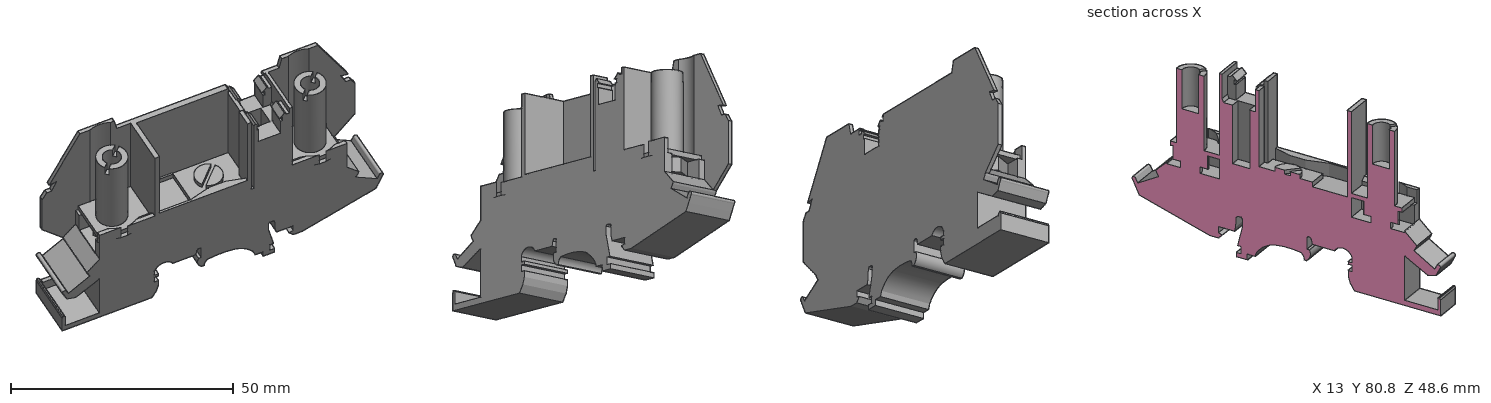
import cadquery as cq
import math


width = 13.0
length = 80.75
height = 48.6
half_length = length / 2
plate_thick = 1.0
mid_plate_thick = 1.5
wall_top = 45.84
core_top = 23.7
core_face_pos_y = 31.25
core_face_neg_y = -30.95
ledge_z = 19.2
slope_y, slope_z = 34.2, 16.3
body_half = 39.35

hook_tip_radius = 0.55
hook_tip_z = 12.5

foot_top = 4.65
tray_y = (-39.6, -31.05)
tray_floor = 1.45

end_wall_pos_y = (16.75, 17.5)
end_wall_neg_y = (-17.1, -15.9)
mid_wall_y = (6.2, 7.2)
low_wall_y = (7.1, 8.1)
low_wall_top = 44.35

slot_floor_z = 38.7
gap_x = (4.2, 8.8)
slot_pocket_y = (9.6, 14.0)
latch_post_outer_y = (16.75, 7.8)
strip_width = 0.4
strip_height = 0.9

screw_x = 6.75
screw_y = (25.1, -24.75)
screw_top = 44.0
screw_dia = 7.25
bore_dia = 4.3
bore_depth = 10.0
screw_slot_width = 0.95
screw_slot_depth = 2.05
clearance_radius = 6.3
clamp_plate_x = (plate_thick, 12.0)
clamp_plate_outer_y = 30.3
clamp_plate_top = 24.9
nut_flats = 8.1
nut_bottom = 20.3
shaft_dia = 5.3
pocket_floor = 18.8
side_wall_thick = 1.0
side_wall_top = 27.1
wedge_width = 1.0
wedge_low_z = 25.9
wedge_high_z = 26.7

mid_screw_x, mid_screw_y = 6.5, -0.3
mid_screw_dia = 6.6
mid_screw_head = 1.0
mid_plate_x = (1.65, 11.0)
mid_plate_end_y = -6.9
shoulder_x = 1.95
mid_wall_outline = [(12.2, mid_wall_y[0]), (11.0, 1.65), (11.0, -2.45), (12.45, -7.7),
                    (12.45, end_wall_neg_y[1])]

latch_pos = [(16.4, wall_top), (16.15, 45.36), (16.75, 45.36), (16.75, 44.32), (16.0, 44.32),
             (15.5, 44.85), (14.25, 43.6), (15.0, 43.6), (15.0, 42.65), (14.55, 42.65),
             (14.55, slot_floor_z)]
latch_neg = [(8.92, slot_floor_z), (8.92, 42.65), (8.65, 42.65), (8.65, 43.6), (9.25, 43.6),
             (8.2, 44.85), (7.8, 44.32), (7.0, 44.32), (7.0, 45.36), (7.5, 45.36),
             (7.0, wall_top)]
plate_end = [(body_half, 21.4), (body_half, 31.4), (38.2, 33.1), (37.0, 33.1), (35.75, 35.55),
             (37.6, 35.3), (29.9, height)]
tower_step_pos = [(20.2, wall_top), (20.9, height)]
tower_step_neg = [(-21.25, height), (-20.55, wall_top)]
hook_top = [(34.0, 15.75), (33.45, 14.85), (38.8, 11.7)]
long_arm = [(39.4, 10.4), (38.5, 8.6), (20.0, 3.45), (17.75, 3.45), (16.65, 4.6), (17.7, 4.89)]
short_arm = [(-37.0, 9.45), (-39.2, 10.05)]
rail_spring_slot = [(17.7, 6.38), (13.52, 6.38), (13.2, 7.5), (13.05, 10.1), (12.7, 10.46),
                    (11.8, 10.46), (11.55, 10.1), (11.55, 8.0), (12.8, 2.94), (11.85, 2.94),
                    (11.85, 1.2), (13.06, 1.2), (13.06, 0), (10.14, 0), (10.14, 1.45),
                    (8.15, 1.45), (7.7, 2.65)]
rail_seat = [(-5.44, 7.3), (-5.44, 10.2), (-5.7, 10.46), (-6.2, 10.46), (-6.5, 9.97),
             (-6.77, 8.8), (-12.6, 8.8)]
rail_jaw = [(-17.19, 7.13), (-16.16, 7.13), (-16.16, 6.38), (-17.19, 6.38), (-17.19, 4.89),
            (-16.16, 4.89), (-16.16, 3.4), (-16.65, 1.75), (-17.8, 0)]
foot = [(-half_length, 0), (-half_length, 4.15), (-40.2, foot_top), (-39.85, foot_top), (-39.2, 3.9),
        (tray_y[1], 3.9), (tray_y[1], 12.65)]


def mirrored(points):
    """Points reflected to the -Y end, in reverse order."""
    return [(-y, z) for y, z in reversed(points)]


def box(x_range, y_range, z_range):
    """Axis-aligned box between pairs of limits."""
    size = [limits[1] - limits[0] for limits in (x_range, y_range, z_range)]
    corner = (x_range[0], y_range[0], z_range[0])
    return cq.Workplane("XY").box(*size, centered=False).translate(corner)


def cylinder(x, y, diameter, z_low, z_high):
    """Upright cylinder."""
    return cq.Workplane("XY", origin=(x, y, z_low)).circle(diameter / 2).extrude(z_high - z_low)


def lines(path, points):
    """Continue a path with straight lines through points."""
    for point in points:
        path = path.lineTo(*point)
    return path


def hook_tip_point(angle):
    """Point on the round hook tip at the +Y end."""
    radians = math.radians(angle)
    centre_y = half_length - hook_tip_radius
    return (centre_y + hook_tip_radius * math.cos(radians),
            hook_tip_z + hook_tip_radius * math.sin(radians))


def lower_outline():
    """Open path from the +Y slope corner round the underside to the -Y slope corner."""
    hook_start, hook_middle, hook_end = [hook_tip_point(angle) for angle in (165, 60, -45)]
    path = cq.Workplane("YZ").moveTo(slope_y, slope_z)
    path = lines(path, hook_top + [hook_start])
    path = path.threePointArc(hook_middle, hook_end)
    path = lines(path, long_arm + rail_spring_slot)
    path = path.threePointArc((5.7, 4.65), (3.0, 5.85))
    path = path.threePointArc((-0.2, 6.15), (-3.8, 5.86))
    path = path.threePointArc((-4.4, 5.2), (-4.66, 4.21))
    path = path.lineTo(-5.25, 4.21)
    path = path.threePointArc((-6.35, 5.9), (-6.1, 7.25))
    path = lines(path, rail_seat)
    path = path.threePointArc((-15.25, 10.05), (-17.19, 8.3))
    path = lines(path, rail_jaw + foot + short_arm + mirrored([hook_end]))
    path = path.threePointArc(*mirrored([hook_start, hook_middle]))
    return lines(path, mirrored([(slope_y, slope_z)] + hook_top))


def make_core():
    """Full-width lower housing."""
    end_faces = [(core_face_neg_y, ledge_z), (core_face_neg_y, core_top),
                 (core_face_pos_y, core_top), (core_face_pos_y, ledge_z)]
    core = lines(lower_outline(), end_faces).close().extrude(width)
    return core.cut(box((plate_thick, width), tray_y, (tray_floor, foot_top)))


def make_side_plate():
    """Closed plate at -X with the complete outline."""
    far_end = [(-y, z) for y, z in plate_end]
    path = lines(lower_outline(), far_end)
    path = lines(path, tower_step_neg)
    path = lines(path, list(reversed(latch_neg)) + list(reversed(latch_pos)))
    path = lines(path, tower_step_pos)
    path = lines(path, list(reversed(plate_end)))
    return path.close().extrude(plate_thick)


def make_walls():
    """Cross walls and the thicker part of the side plate between them."""
    full_x = (0, width)
    walls = box(full_x, end_wall_pos_y, (slope_z, wall_top))
    walls = walls.union(box(full_x, end_wall_neg_y, (slope_z, wall_top)))
    walls = walls.union(box((gap_x[1], width), mid_wall_y, (slope_z, wall_top)))
    walls = walls.union(box((plate_thick, gap_x[1]), low_wall_y, (slope_z, low_wall_top)))
    mid_span = (end_wall_neg_y[0], mid_wall_y[1])
    return walls.union(box((0, mid_plate_thick), mid_span, (slope_z, wall_top)))


def make_marker_slot():
    """Block under the marker slot with its two pairs of latch posts."""
    pos_y, neg_y = latch_post_outer_y
    block = box((0, width), (neg_y, pos_y), (slope_z, slot_floor_z))
    block = block.cut(box(gap_x, slot_pocket_y, (core_top, slot_floor_z)))
    pos_post = latch_pos[3:] + [(pos_y, slot_floor_z)]
    neg_post = latch_neg[:7] + [(neg_y, slot_floor_z)]
    for x_low, x_high in ((0, gap_x[0]), (gap_x[1], width)):
        for outline in (pos_post, neg_post):
            post = cq.Workplane("YZ", origin=(x_low, 0, 0)).polyline(outline).close()
            block = block.union(post.extrude(x_high - x_low))
    strip = [(pos_y, slot_floor_z), (pos_y - strip_width, slot_floor_z),
             (pos_y, slot_floor_z + strip_height)]
    strip_face = cq.Workplane("YZ", origin=(gap_x[0], 0, 0)).polyline(strip).close()
    return block.union(strip_face.extrude(gap_x[1] - gap_x[0]))


def slot_tool(x, y, slot_length, z_low, z_high):
    """Diagonal bar that cuts a screwdriver slot."""
    bar = cq.Workplane("XY", origin=(0, 0, z_low)).rect(slot_length, screw_slot_width)
    bar = bar.extrude(z_high - z_low).rotate((0, 0, 0), (0, 0, 1), -45)
    return bar.translate((x, y, 0))


def add_terminal(body, y, inner_y, end_y):
    """Clamp plate, screw, nut, wire pocket and side wall between a cross wall and an end face."""
    side = math.copysign(1, y)
    span = tuple(sorted((inner_y, end_y)))
    side_wall_x = width - side_wall_thick
    nut_x = (screw_x - nut_flats / 2, screw_x + nut_flats / 2)
    body = body.cut(box(nut_x, span, (pocket_floor, core_top)))

    wall = box((side_wall_x, width), span, (core_top, side_wall_top))
    inner_span = tuple(sorted((inner_y, y)))
    wall = wall.cut(box((side_wall_x, width), inner_span, (wedge_high_z, side_wall_top)))
    rib_outline = [(side_wall_x, core_top), (side_wall_x - wedge_width, core_top),
                   (side_wall_x - wedge_width, wedge_low_z), (side_wall_x, wedge_high_z)]
    rib = cq.Workplane("XZ", origin=(0, inner_y, 0)).polyline(rib_outline).close()
    body = body.union(wall).union(rib.extrude(inner_y - y))
    body = body.cut(cylinder(screw_x, y, 2 * clearance_radius, core_top, height))

    clamp_y = tuple(sorted((inner_y, side * clamp_plate_outer_y)))
    clamp = box(clamp_plate_x, clamp_y, (core_top, clamp_plate_top))
    screw = cylinder(screw_x, y, screw_dia, clamp_plate_top, screw_top)
    screw = screw.cut(cylinder(screw_x, y, bore_dia, screw_top - bore_depth, screw_top))
    screw = screw.cut(slot_tool(screw_x, y, 2 * screw_dia, screw_top - screw_slot_depth, screw_top))
    nut_corners = nut_flats / math.cos(math.pi / 6)
    nut = cq.Workplane("XY").polygon(6, nut_corners).extrude(core_top - nut_bottom)
    nut = nut.rotate((0, 0, 0), (0, 0, 1), 90).translate((screw_x, y, nut_bottom))
    shaft = cylinder(screw_x, y, shaft_dia, pocket_floor, nut_bottom)
    return body.union(clamp).union(screw).union(nut).union(shaft)


def make_middle_clamp():
    """Clamp plate with a slotted screw head and the side wall beside it."""
    plate = box(mid_plate_x, (mid_plate_end_y, low_wall_y[0]), (core_top, clamp_plate_top))
    head_top = clamp_plate_top + mid_screw_head
    head = cylinder(mid_screw_x, mid_screw_y, mid_screw_dia, clamp_plate_top, head_top)
    head = head.cut(slot_tool(mid_screw_x, mid_screw_y, 2 * mid_screw_dia, clamp_plate_top, head_top))
    outline = mid_wall_outline + [(width, end_wall_neg_y[1]), (width, mid_wall_y[0])]
    wall = cq.Workplane("XY", origin=(0, 0, core_top)).polyline(outline).close()
    shoulder = box((mid_plate_thick, shoulder_x), (end_wall_neg_y[1], mid_plate_end_y),
                   (core_top, clamp_plate_top))
    return plate.union(head).union(shoulder).union(wall.extrude(side_wall_top - core_top))


body = make_core().union(make_side_plate()).union(make_walls()).union(make_marker_slot())
body = add_terminal(body, screw_y[0], end_wall_pos_y[1], core_face_pos_y)
body = add_terminal(body, screw_y[1], end_wall_neg_y[0], core_face_neg_y)
result = body.union(make_middle_clamp())